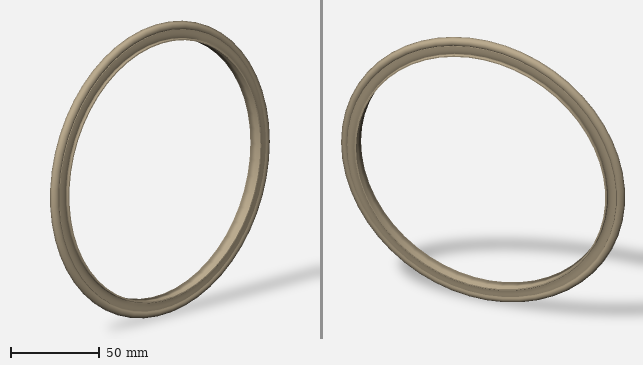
import cadquery as cq
import math

OUTER_DIAMETER = 171.8
CORD_DIAMETER = 5.2
GROOVE_DIAMETER = 160.5
WEB_DIAMETER = 163.0
WEB_THICKNESS = 4.5
COLLAR_OUTER_DIAMETER = 153.0
COLLAR_INNER_DIAMETER = 151.0
COLLAR_WIDTH = 8.0
COLLAR_CHAMFER = 0.25

CORD_RADIUS = CORD_DIAMETER / 2
CORD_CENTER_RADIUS = OUTER_DIAMETER / 2 - CORD_RADIUS

WEB_RADIUS = WEB_DIAMETER / 2
GROOVE_RADIUS = GROOVE_DIAMETER / 2
HALF_GROOVE = math.sqrt(CORD_RADIUS**2 - (CORD_CENTER_RADIUS - WEB_RADIUS) ** 2)


def revolve_about_x(profile):
    """Revolve an XY profile (X along the axis, Y radial) a full turn about X."""
    return profile.revolve(360, (0, 0, 0), (1, 0, 0))


def make_seal():
    """Seal ring: a round cord with a straight foot that fills the web groove."""
    profile = (
        cq.Workplane("XY")
        .moveTo(-HALF_GROOVE, GROOVE_RADIUS)
        .lineTo(HALF_GROOVE, GROOVE_RADIUS)
        .lineTo(HALF_GROOVE, WEB_RADIUS)
        .threePointArc((0, OUTER_DIAMETER / 2), (-HALF_GROOVE, WEB_RADIUS))
        .close()
    )
    return revolve_about_x(profile)


def make_carrier():
    """Thin collar with a web around it; a groove in the web rim holds the seal."""
    half_collar = COLLAR_WIDTH / 2
    half_web = WEB_THICKNESS / 2
    bore_radius = COLLAR_INNER_DIAMETER / 2
    collar_radius = COLLAR_OUTER_DIAMETER / 2

    profile = (
        cq.Workplane("XY")
        .moveTo(-half_collar, bore_radius)
        .lineTo(half_collar, bore_radius)
        .lineTo(half_collar, collar_radius - COLLAR_CHAMFER)
        .lineTo(half_collar - COLLAR_CHAMFER, collar_radius)
        .lineTo(half_web, collar_radius)
        .lineTo(half_web, WEB_RADIUS)
        .lineTo(HALF_GROOVE, WEB_RADIUS)
        .lineTo(HALF_GROOVE, GROOVE_RADIUS)
        .lineTo(-HALF_GROOVE, GROOVE_RADIUS)
        .lineTo(-HALF_GROOVE, WEB_RADIUS)
        .lineTo(-half_web, WEB_RADIUS)
        .lineTo(-half_web, collar_radius)
        .lineTo(COLLAR_CHAMFER - half_collar, collar_radius)
        .lineTo(-half_collar, collar_radius - COLLAR_CHAMFER)
        .close()
    )
    return revolve_about_x(profile)


carrier = make_carrier()
seal = make_seal()

result = cq.Compound.makeCompound([carrier.val(), seal.val()])